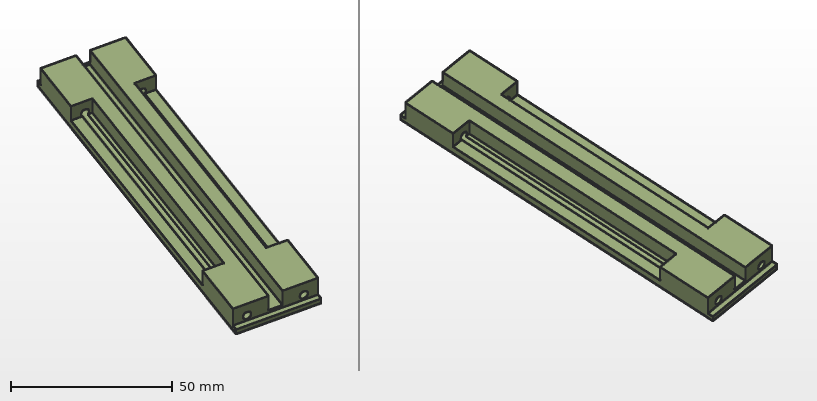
import cadquery as cq

length = 130.0
width = 30.0
height = 9.0

tab_length = 2.1
tab_height = 2.0

slot_width = 5.0
slot_floor = 3.0

pocket_length = 86.0
pocket_depth = 7.5
pocket_floor = 3.0

hole_diameter = 2.9
hole_spacing = 20.0
hole_height = 4.0


def block(x_size, y_size, z_bottom, z_top, y_center=0):
    """Box centred on X = 0, between two heights."""
    box = cq.Workplane("XY").box(x_size, y_size, z_top - z_bottom, centered=(True, True, False))
    return box.translate((0, y_center, z_bottom))


body_length = length - 2 * tab_length
result = block(length, width, 0, tab_height)
result = result.union(block(body_length, width, 0, height))

result = result.cut(block(body_length, slot_width, slot_floor, height))

for side in (-1, 1):
    pocket_y = side * (width - pocket_depth) / 2
    result = result.cut(block(pocket_length, pocket_depth, pocket_floor, height, pocket_y))

    hole = (
        cq.Workplane("YZ", origin=(-length / 2, 0, 0))
        .center(side * hole_spacing / 2, hole_height)
        .circle(hole_diameter / 2)
        .extrude(length)
    )
    result = result.cut(hole)